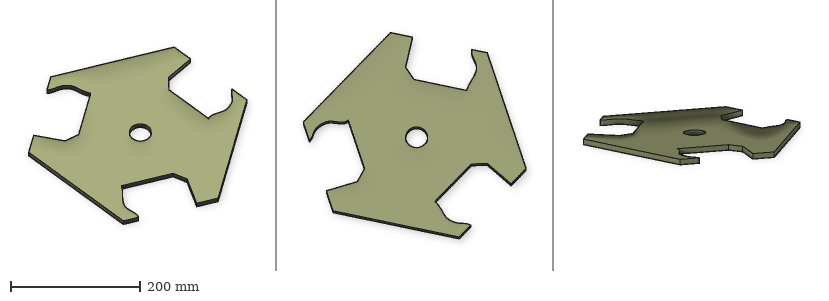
import cadquery as cq
import math

thickness = 9.0
bore_diameter = 34.0
edge_distance = 146.5
tip_distance = 160.0

floor_distance = 92.5
wall_lateral = 42.0
floor_end_lateral = -58.7
chamfer = 17.5
mouth_overrun = 10.5

curved_sides = {
    0: [(111.5, -63.0), (121.5, -65.5), (134.8, -65.0), (146.8, -57.5), (154.5, -53.0)],
    120: [(102.0, -58.5), (111.5, -62.3), (122.0, -66.0), (137.5, -64.0), (147.0, -58.5), (153.0, -51.0)],
    240: [(100.8, -59.8), (109.5, -62.3), (124.5, -66.5), (133.0, -65.5), (143.0, -61.0), (150.5, -55.0)],
}
lip_laterals = {0: -52.0, 120: -45.3, 240: -50.2}

edge_angle = math.radians(60)
tip_half_width = (edge_distance - tip_distance * math.cos(edge_angle)) / math.sin(edge_angle)


def turned(radial, lateral, degrees):
    """Place an arm's (radial, lateral) point in the plate's XY plane."""
    angle = math.radians(degrees)
    x = radial * math.cos(angle) - lateral * math.sin(angle)
    y = radial * math.sin(angle) + lateral * math.cos(angle)
    return x, y


def make_plate():
    corners = []
    for arm_angle in curved_sides:
        for lateral in (-tip_half_width, tip_half_width):
            corners.append(turned(tip_distance, lateral, arm_angle))
    return cq.Workplane("XY").polyline(corners).close().extrude(thickness)


def make_notch(arm_angle):
    lip_lateral = lip_laterals[arm_angle]
    curve = curved_sides[arm_angle] + [(tip_distance, lip_lateral)]
    mouth_distance = tip_distance + mouth_overrun
    cutter = (
        cq.Workplane("XY")
        .moveTo(mouth_distance, wall_lateral)
        .lineTo(floor_distance + chamfer, wall_lateral)
        .lineTo(floor_distance, wall_lateral - chamfer)
        .lineTo(floor_distance, floor_end_lateral)
        .spline(curve, includeCurrent=True)
        .lineTo(mouth_distance, lip_lateral)
        .close()
        .extrude(thickness)
    )
    return cutter.rotate((0, 0, 0), (0, 0, 1), arm_angle)


result = make_plate()
for angle in curved_sides:
    result = result.cut(make_notch(angle))
result = result.faces(">Z").workplane(origin=(0, 0, thickness)).hole(bore_diameter)